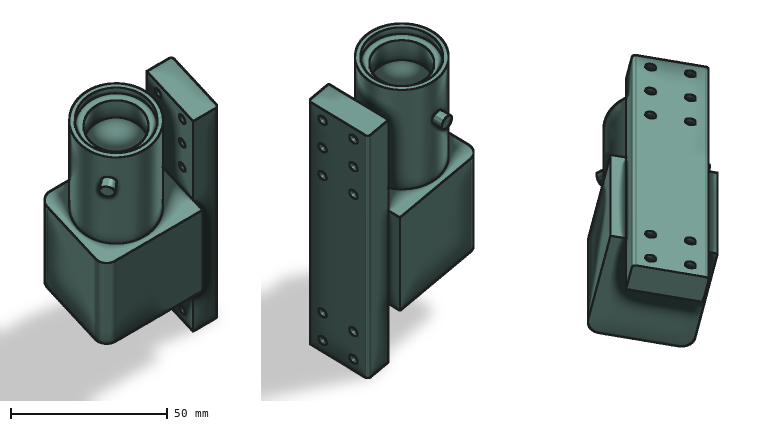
import cadquery as cq


block_width = 35.0
block_bottom = 26.6
block_top = 68.9
block_front = -17.8
block_corner_radius = 4.6

part_depth = 49.2
plate_width = 25.1
plate_height = 110.0
plate_thickness = 10.0
plate_offset_x = -0.1
plate_edge_radius = 1.1
plate_back = block_front + part_depth
plate_front = plate_back - plate_thickness

hole_diameter = 3.4
hole_column_spacing = 13.0
hole_end_distance = 5.0
hole_row_pitch = 12.5
bottom_rows = 2
top_rows = 3

barrel_diameter = 30.0
barrel_top = 114.0
recess_diameter = 26.5
recess_depth = 3.0
bore_diameter = 20.7
bore_floor_depth = 12.0

pin_diameter = 5.0
pin_tip_radius = 18.9
pin_root_radius = 13.7
pins = [
    (180, 96.6),
    (-45, 101.0),
]


def make_block():
    depth = plate_front - block_front
    return (
        cq.Workplane("XY", origin=(0, block_front + depth / 2, block_bottom))
        .rect(block_width, depth)
        .extrude(block_top - block_bottom)
        .edges("|Z and <Y")
        .fillet(block_corner_radius)
    )


def make_plate():
    """Plate with rounded rear edges and through holes outside the block."""
    plate = (
        cq.Workplane("XY", origin=(plate_offset_x, plate_back - plate_thickness / 2, 0))
        .rect(plate_width, plate_thickness)
        .extrude(plate_height)
        .edges("|Z and >Y")
        .fillet(plate_edge_radius)
    )
    row_heights = [hole_end_distance + i * hole_row_pitch for i in range(bottom_rows)]
    row_heights += [plate_height - hole_end_distance - i * hole_row_pitch for i in range(top_rows)]
    centers = [(side * hole_column_spacing / 2, z) for side in (-1, 1) for z in row_heights]
    holes = (
        cq.Workplane("XZ", origin=(0, plate_back, 0))
        .pushPoints(centers)
        .circle(hole_diameter / 2)
        .extrude(plate_thickness)
    )
    return plate.cut(holes)


def make_barrel():
    return (
        cq.Workplane("XY", origin=(0, 0, block_top))
        .circle(barrel_diameter / 2)
        .extrude(barrel_top - block_top)
        .faces(">Z")
        .workplane()
        .cboreHole(bore_diameter, recess_diameter, recess_depth, bore_floor_depth)
    )


def make_pin(direction, height):
    """Round pin pointing radially outward, rooted in the barrel wall."""
    return (
        cq.Workplane("YZ", origin=(pin_root_radius, 0, height))
        .circle(pin_diameter / 2)
        .extrude(pin_tip_radius - pin_root_radius)
        .rotate((0, 0, 0), (0, 0, 1), direction)
    )


result = make_block().union(make_plate()).union(make_barrel())
for direction, height in pins:
    result = result.union(make_pin(direction, height))